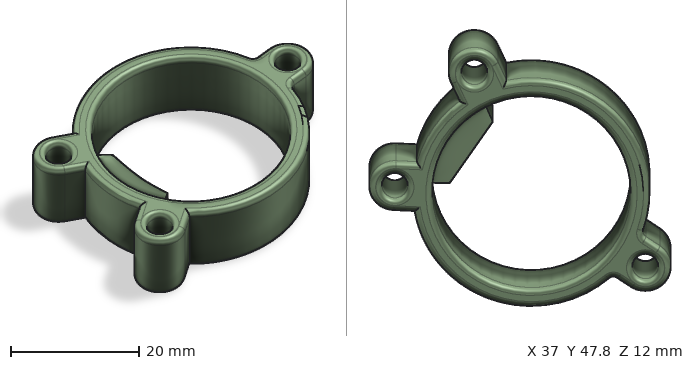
import cadquery as cq
import math

ring_outer_diameter = 37.0
ring_outer_radius = ring_outer_diameter / 2
ring_wall = 3.0
ring_bore_radius = ring_outer_radius - ring_wall
height = 12.0
edge_round = 1.0

lug_radius = 4.0
lug_bore_diameter = 4.0
rear_lug_center = (0, 21.5)
front_lug_x = 11.1
front_lug_y = -18.25
lug_centers = [rear_lug_center, (-front_lug_x, front_lug_y), (front_lug_x, front_lug_y)]
rear_lug_blend_radius = 1.0
lug_bore_round = 0.95

saddle_front_y = -11.3
saddle_front_half_width = 6.0
saddle_side_angle = 33.0
saddle_bottom_z = edge_round
saddle_wall_z = 10.5
saddle_crown_radius = 7.65


def make_lug(center):
    """Solid ear around center, with a web that runs radially into the ring."""
    x, y = center
    reach = math.hypot(x, y)
    direction = math.degrees(math.atan2(y, x))
    web_start = ring_outer_radius - ring_wall / 2
    web_length = reach - web_start
    ear = cq.Workplane("XY").center(x, y).circle(lug_radius).extrude(height)
    web = (
        cq.Workplane("XY")
        .center(web_start + web_length / 2, 0)
        .rect(web_length, 2 * lug_radius)
        .extrude(height)
        .rotate((0, 0, 0), (0, 0, 1), direction)
    )
    return ear.union(web)


def make_rounded_bore(center, radius, rim_round):
    """Cutter for a through bore whose top and bottom rims are rounded."""
    rim_radius = radius + rim_round
    arc_offset = rim_round * math.sqrt(0.5)
    arc_radius = rim_radius - arc_offset
    arc_depth = rim_round - arc_offset
    profile = (
        cq.Workplane("XZ")
        .lineTo(rim_radius, 0)
        .threePointArc((arc_radius, arc_depth), (radius, rim_round))
        .lineTo(radius, height - rim_round)
        .threePointArc((arc_radius, height - arc_depth), (rim_radius, height))
        .lineTo(0, height)
        .close()
    )
    x, y = center
    return profile.revolve(360, (0, 0, 0), (0, 1, 0)).translate((x, y, 0))


def make_housing():
    """Ring with three bored lugs and rounded top and bottom edges."""
    body = cq.Workplane("XY").circle(ring_outer_radius).extrude(height)
    for center in lug_centers:
        body = body.union(make_lug(center))

    root_y = math.sqrt(ring_outer_radius**2 - lug_radius**2)
    for root_x in (-lug_radius, lug_radius):
        root = cq.selectors.NearestToPointSelector((root_x, root_y, height / 2))
        body = body.edges("|Z").edges(root).fillet(rear_lug_blend_radius)

    body = body.faces("<Z or >Z").edges().fillet(edge_round)

    body = body.cut(make_rounded_bore((0, 0), ring_bore_radius, edge_round))
    for center in lug_centers:
        body = body.cut(make_rounded_bore(center, lug_bore_diameter / 2, lug_bore_round))
    return body


def make_saddle():
    """Block with slanted sides that fits the ring bore, its top rounded as a band of a torus."""
    back_y = -ring_bore_radius
    side_run = (saddle_front_y - back_y) * math.tan(math.radians(saddle_side_angle))
    back_half_width = saddle_front_half_width + side_run
    block = (
        cq.Workplane("XY")
        .polyline(
            [
                (-saddle_front_half_width, saddle_front_y),
                (saddle_front_half_width, saddle_front_y),
                (back_half_width, back_y),
                (-back_half_width, back_y),
            ]
        )
        .close()
        .extrude(height)
    )

    inner_radius = -saddle_front_y
    section_width = ring_bore_radius - inner_radius
    drop = saddle_crown_radius - math.sqrt(saddle_crown_radius**2 - section_width**2)
    band = (
        cq.Workplane("XZ")
        .moveTo(inner_radius, saddle_bottom_z)
        .lineTo(ring_bore_radius, saddle_bottom_z)
        .lineTo(ring_bore_radius, saddle_wall_z)
        .radiusArc((inner_radius, saddle_wall_z - drop), -saddle_crown_radius)
        .close()
        .revolve(360, (0, 0, 0), (0, 1, 0))
    )
    return block.intersect(band)


housing = make_housing()
saddle = make_saddle()

result = cq.Compound.makeCompound([housing.solids().val(), saddle.solids().val()])